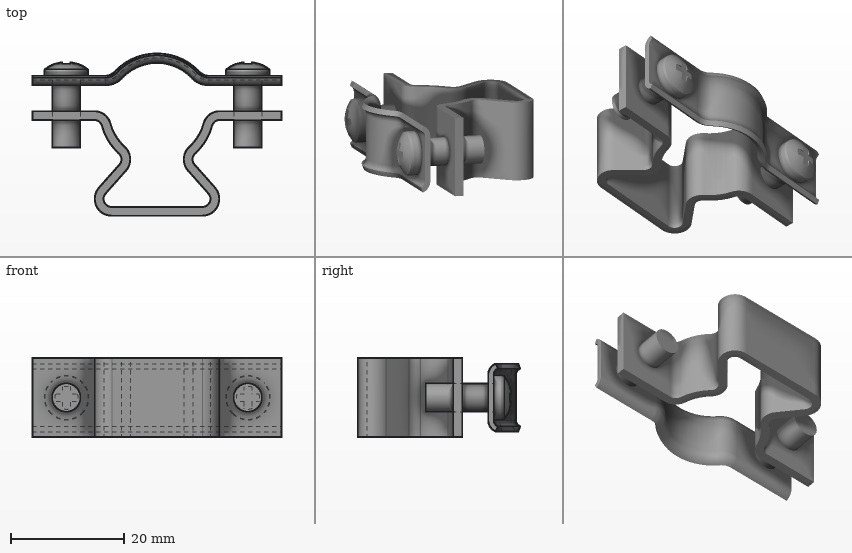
import cadquery as cq
import math

overall_length = 44.0
bore_radius = 8.5
bore_y = 18.5

bracket_width = 14.0
bracket_thickness = 1.6
bend_outer_radius = 3.0
foot_half_length = 8.0
neck_center_x = 7.7

strap_face_y = 23.0
strap_thickness = 0.95
strap_web_half_width = 4.0
strap_edge_radius = 2.15
strap_edge_angle = 68.0
strap_bend_x = 9.15

screw_x = 16.0
shank_radius = 2.5
shank_end_y = 12.0
head_radius = 3.9
head_rim_height = 1.45
head_step_height = 0.4
head_step_inset = 0.1
head_height = 3.2
slot_width = 1.35
slot_depth = 0.35

half_length = overall_length / 2
bend_inner_radius = bend_outer_radius - bracket_thickness
flange_bottom_y = bore_y - bracket_thickness
strap_seat_y = strap_face_y + strap_thickness


def on_circle(center, radius, angle):
    """Point of a circle at an angle in radians."""
    return (center[0] + radius * math.cos(angle), center[1] + radius * math.sin(angle))


def add_arc(outline, center, radius, start, end):
    """Continue a sketch, already at the start angle, along a circle to the end angle."""
    middle = on_circle(center, radius, (start + end) / 2)
    return outline.threePointArc(middle, on_circle(center, radius, end))


def screw_holes():
    """Cylinders of the shank size, long enough to pass through both clamp halves."""
    return (
        cq.Workplane("XZ", origin=(0, shank_end_y, 0))
        .pushPoints([(-screw_x, 0), (screw_x, 0)])
        .circle(shank_radius)
        .extrude(-overall_length)
    )


def make_bracket():
    bore = (0, bore_y)
    bend_distance = bore_radius + bend_outer_radius
    corner = (foot_half_length, bend_outer_radius)
    neck = (neck_center_x, bore_y - math.sqrt(bend_distance**2 - neck_center_x**2))
    shoulder = (
        math.sqrt(bend_distance**2 - bend_outer_radius**2),
        bore_y - bend_outer_radius,
    )

    rise = neck[1] - corner[1]
    run = neck[0] - corner[0]
    radius_sum = bend_outer_radius + bend_inner_radius
    leg_angle = math.atan2(rise, run) - math.acos(radius_sum / math.hypot(rise, run))
    neck_start = leg_angle + math.pi
    neck_angle = math.atan2(neck[1] - bore_y, neck[0])
    shoulder_angle = math.atan2(shoulder[1] - bore_y, shoulder[0])
    down = -math.pi / 2
    up = math.pi / 2
    saddle_outer_radius = bore_radius + bracket_thickness

    outline = cq.Workplane("XY", origin=(0, 0, -bracket_width / 2)).moveTo(0, 0)
    outline = outline.lineTo(foot_half_length, 0)
    outline = add_arc(outline, corner, bend_outer_radius, down, leg_angle)
    outline = outline.lineTo(*on_circle(neck, bend_inner_radius, neck_start))
    outline = add_arc(outline, neck, bend_inner_radius, neck_start, neck_angle + math.pi)
    outline = add_arc(outline, bore, saddle_outer_radius, neck_angle, shoulder_angle)
    outline = add_arc(outline, shoulder, bend_inner_radius, shoulder_angle + math.pi, up)
    outline = outline.lineTo(half_length, flange_bottom_y)
    outline = outline.lineTo(half_length, bore_y)

    outline = outline.lineTo(shoulder[0], bore_y)
    outline = add_arc(outline, shoulder, bend_outer_radius, up, shoulder_angle + math.pi)
    outline = add_arc(outline, bore, bore_radius, shoulder_angle, neck_angle)
    outline = add_arc(outline, neck, bend_outer_radius, neck_angle + math.pi, neck_start)
    outline = outline.lineTo(*on_circle(corner, bend_inner_radius, leg_angle))
    outline = add_arc(outline, corner, bend_inner_radius, leg_angle, down)
    outline = outline.lineTo(0, bracket_thickness).close()

    half = outline.extrude(bracket_width)
    return half.union(half.mirror("YZ")).cut(screw_holes())


def make_strap():
    ear_rise = strap_face_y - bore_y
    bend_radius = (strap_bend_x**2 + ear_rise**2 - bore_radius**2) / (2 * (bore_radius - ear_rise))
    bend = (strap_bend_x, strap_face_y + bend_radius)
    bend_angle = math.atan2(bend[1] - bore_y, strap_bend_x)
    tangent_x, tangent_y = on_circle((0, bore_y), bore_radius, bend_angle)
    bend_start = math.pi * 3 / 2
    bend_end = bend_angle + math.pi
    bend_middle = on_circle(bend, bend_radius, (bend_start + bend_end) / 2)

    path = (
        cq.Workplane("XY")
        .moveTo(-half_length, strap_face_y)
        .lineTo(-strap_bend_x, strap_face_y)
        .threePointArc((-bend_middle[0], bend_middle[1]), (-tangent_x, tangent_y))
        .threePointArc((0, bore_y + bore_radius), (tangent_x, tangent_y))
        .threePointArc(bend_middle, (strap_bend_x, strap_face_y))
        .lineTo(half_length, strap_face_y)
    )

    roll = math.radians(strap_edge_angle)
    web = strap_web_half_width
    inner_radius = strap_edge_radius - strap_thickness
    upper = (strap_edge_radius, web)
    lower = (strap_edge_radius, -web)
    left = math.pi
    section = cq.Workplane("YZ", origin=(-half_length, strap_face_y, 0)).moveTo(0, -web)
    section = section.lineTo(0, web)
    section = add_arc(section, upper, strap_edge_radius, left, left - roll)
    section = section.lineTo(*on_circle(upper, inner_radius, left - roll))
    section = add_arc(section, upper, inner_radius, left - roll, left)
    section = section.lineTo(strap_thickness, -web)
    section = add_arc(section, lower, inner_radius, left, left + roll)
    section = section.lineTo(*on_circle(lower, strap_edge_radius, left + roll))
    section = add_arc(section, lower, strap_edge_radius, left + roll, left).close()

    return section.sweep(path).cut(screw_holes())


def make_screw(x):
    rim_y = strap_seat_y + head_rim_height
    step_y = rim_y + head_step_height
    top_y = strap_seat_y + head_height
    dome_start = head_radius - head_step_inset
    dome_height = top_y - step_y
    dome_radius = (dome_start**2 + dome_height**2) / (2 * dome_height)
    half_angle = math.asin(dome_start / dome_radius) / 2
    dome_middle = on_circle((0, top_y - dome_radius), dome_radius, math.pi / 2 - half_angle)

    screw = (
        cq.Workplane("XY")
        .moveTo(0, shank_end_y)
        .lineTo(shank_radius, shank_end_y)
        .lineTo(shank_radius, strap_seat_y)
        .lineTo(head_radius, strap_seat_y)
        .lineTo(head_radius, rim_y)
        .lineTo(dome_start, step_y)
        .threePointArc(dome_middle, (0, top_y))
        .close()
        .revolve(360, (0, 0, 0), (0, 1, 0))
    )
    slot_length = 2 * head_radius
    slot_height = 2 * slot_depth
    slot_along_z = cq.Workplane("XY", origin=(0, top_y, 0)).box(slot_width, slot_height, slot_length)
    slot_along_x = cq.Workplane("XY", origin=(0, top_y, 0)).box(slot_length, slot_height, slot_width)
    return screw.cut(slot_along_z).cut(slot_along_x).translate((x, 0, 0))


bracket = make_bracket()
strap = make_strap()
screws = [make_screw(x) for x in (-screw_x, screw_x)]

result = cq.Compound.makeCompound([bracket.val(), strap.val(), *[screw.val() for screw in screws]])